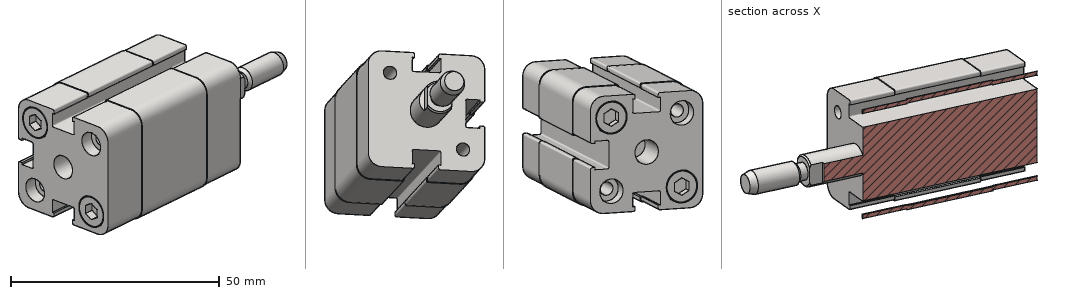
import cadquery as cq
body_width = 29.05
cap_length = 12.25
barrel_length = 23.55
body_length = 2 * cap_length + barrel_length
total_length = 78.5

barrel_corner_radius = 3.5
cap_inset = 0.2

slot_floor_distance = 9.65
slot_inner_width = 7.0
barrel_slot_mouth_width = 5.5
slot_lip_depth = 1.2
slot_lip_radius = 0.5
slot_floor_radius = 0.4

screw_pitch = 18.0
mount_hole_diameter = 3.2
mount_counterbore_diameter = 6.0
mount_counterbore_depth = 3.45
center_bore_diameter = 6.0
center_bore_depth = 9.4
screw_recess_diameter = 8.0
screw_head_diameter = 7.5
screw_head_height = 4.7
socket_width = 3.7
socket_depth = 2.35

rod_diameter = 8.0
rod_chamfer = 0.4
flat_width = 6.0
flat_length = 3.5
neck_diameter = 4.4
thread_diameter = 6.0
thread_end_length = 16.0
neck_length = 2.0
thread_tip_diameter = 4.7
thread_tip_length = 2.0


def front_plane(y):
    """XZ plane at height y whose normal points to +Y (local x runs to -X, local y to +Z)."""
    return cq.Workplane(cq.Plane(origin=(0, y, 0), xDir=(-1, 0, 0), normal=(0, 1, 0)))


def slot_cutter(y, length, half_width, mouth_width):
    """T-slot opening to +Z, with a narrow mouth between lips rounded on the outside."""
    half_mouth = mouth_width / 2
    half_inner = slot_inner_width / 2
    lip_bottom = half_width - slot_lip_depth
    flare = half_mouth + slot_lip_radius
    curve_start = half_width - slot_lip_radius
    outline = (
        front_plane(y)
        .moveTo(-half_inner, slot_floor_distance)
        .lineTo(half_inner, slot_floor_distance)
        .lineTo(half_inner, lip_bottom)
        .lineTo(half_mouth, lip_bottom)
        .lineTo(half_mouth, curve_start)
        .radiusArc((flare, half_width), slot_lip_radius)
        .lineTo(-flare, half_width)
        .radiusArc((-half_mouth, curve_start), slot_lip_radius)
        .lineTo(-half_mouth, lip_bottom)
        .lineTo(-half_inner, lip_bottom)
        .close()
    )
    cutter = outline.extrude(length)
    return cutter.edges("|Y and <Z").fillet(slot_floor_radius)


def body_section(y, length, inset):
    """Rounded square length of body with its three slots; inset moves every outer wall inward."""
    width = body_width - 2 * inset
    block = front_plane(y).rect(width, width).extrude(length)
    block = block.edges("|Y").fillet(barrel_corner_radius - inset)
    cutter = slot_cutter(y, length, width / 2, barrel_slot_mouth_width + 2 * inset)
    for angle in (0, -90, 180):
        block = block.cut(cutter.rotate((0, 0, 0), (0, 1, 0), angle))
    return block


def cylinder(diameter, depth, x=0, z=0):
    """Cylinder from the front face into the body."""
    return front_plane(0).center(-x, z).circle(diameter / 2).extrude(depth)


def socket_screw_gap(x, z):
    """Clearance ring around a flush screw head, plus its hexagon socket."""
    gap = cylinder(screw_recess_diameter, screw_head_height, x, z)
    gap = gap.cut(cylinder(screw_head_diameter, screw_head_height, x, z))
    socket_diameter = socket_width / (3**0.5 / 2)
    socket = front_plane(0).center(-x, z).transformed(rotate=(0, 0, 90)).polygon(6, socket_diameter)
    return gap.union(socket.extrude(socket_depth))


def piston_rod():
    """Turned rod with a relieved, pointed thread end and two wrench flats."""
    shoulder = total_length - thread_end_length
    rod_radius = rod_diameter / 2
    neck_radius = neck_diameter / 2
    thread_radius = thread_diameter / 2
    relief = thread_radius - neck_radius
    rod = (
        cq.Workplane("XY")
        .moveTo(0, body_length)
        .lineTo(rod_radius, body_length)
        .lineTo(rod_radius, shoulder - rod_chamfer)
        .lineTo(rod_radius - rod_chamfer, shoulder)
        .lineTo(neck_radius, shoulder)
        .lineTo(neck_radius, shoulder + neck_length)
        .lineTo(thread_radius, shoulder + neck_length + relief)
        .lineTo(thread_radius, total_length - thread_tip_length)
        .lineTo(thread_tip_diameter / 2, total_length)
        .lineTo(0, total_length)
        .close()
        .revolve(360, (0, 0, 0), (0, 1, 0))
    )
    half_flat = flat_width / 2
    runout = rod_radius - half_flat
    flat_end = shoulder - flat_length
    flat_cutter = (
        cq.Workplane("XY")
        .moveTo(half_flat, shoulder)
        .lineTo(half_flat, flat_end)
        .lineTo(rod_radius, flat_end - runout)
        .lineTo(rod_radius, shoulder)
        .close()
        .extrude(rod_radius, both=True)
    )
    return rod.cut(flat_cutter).cut(flat_cutter.mirror("YZ"))


body = body_section(0, cap_length, cap_inset)
body = body.union(body_section(cap_length, barrel_length, 0))
body = body.union(body_section(cap_length + barrel_length, cap_length, cap_inset))

offset = screw_pitch / 2
for side in (-1, 1):
    x = side * offset
    body = body.cut(cylinder(mount_hole_diameter, body_length, x, x))
    body = body.cut(cylinder(mount_counterbore_diameter, mount_counterbore_depth, x, x))
    body = body.cut(socket_screw_gap(x, -x))

body = body.cut(cylinder(center_bore_diameter, center_bore_depth))

result = body.union(piston_rod())